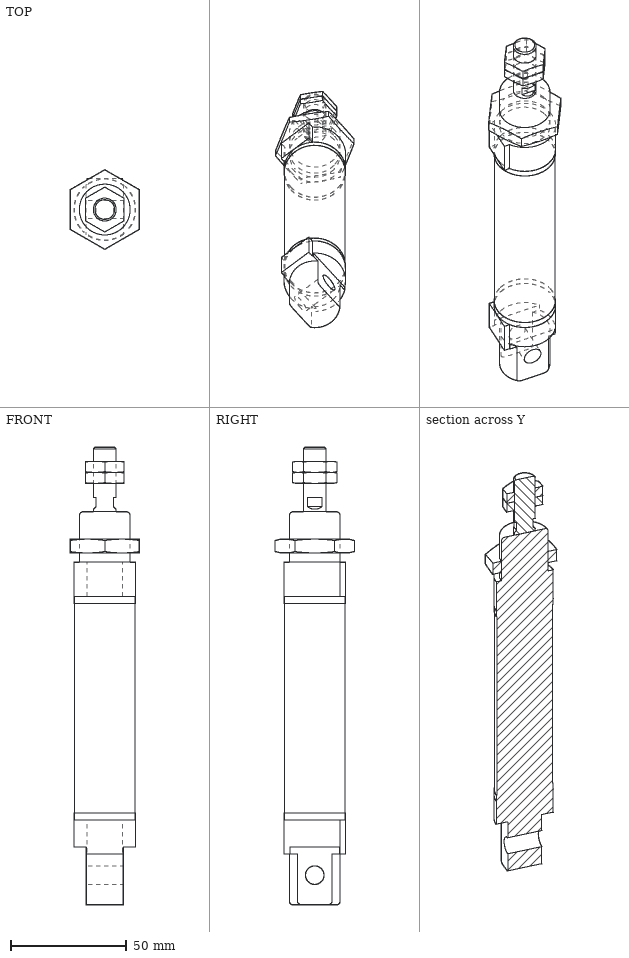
import cadquery as cq
import math

rod_top = 199.0
rod_nut_stack_bottom = 183.3
rod_flat_top = 177.1
rod_flat_bottom = 173.1
collar_top = 171.0
mounting_nut_bottom = 153.0
upper_cap_top = 149.0
upper_cap_bottom = 134.1
lower_cap_top = 37.0
clevis_shoulder_z = 25.0
lower_cap_bottom = 22.0
pivot_z = 13.0

cap_diameter = 26.9
ring_diameter = 26.7
ring_length = 3.0
tube_diameter = 26.5
collar_diameter = 22.0
end_fillet = 1.5
pad_width = 15.5
clevis_width = 16.1
pivot_diameter = 8.0

rod_diameter = 10.0
rod_tip_chamfer = 0.7
rod_flat_width = 7.8

mounting_nut_flats = 30.0
mounting_nut_thickness = 6.0
mounting_nut_corner_drop = 0.5
rod_nut_flats = 17.0
rod_nut_thickness = 4.8
rod_nut_corner_drop = 0.3
rod_nut_count = 2

cap_radius = cap_diameter / 2
rod_radius = rod_diameter / 2


def cylinder(diameter, bottom, top):
    """Upright cylinder on the Z axis between two heights."""
    return cq.Workplane("XY").workplane(offset=bottom).circle(diameter / 2).extrude(top - bottom)


def make_nut(flats, thickness, corner_drop, bore, bottom):
    """Hexagon nut with flats facing +X and -X and corners chamfered on both ends."""
    corner_radius = flats / math.sqrt(3)
    face_radius = flats / 2
    hexagon = cq.Workplane("XY").polygon(6, 2 * corner_radius).extrude(thickness)
    hexagon = hexagon.rotate((0, 0, 0), (0, 0, 1), 30)
    double_cone = cq.Workplane("XZ").polyline([
        (0, 0),
        (face_radius, 0),
        (corner_radius, corner_drop),
        (corner_radius, thickness - corner_drop),
        (face_radius, thickness),
        (0, thickness),
    ]).close().revolve(360, (0, 0, 0), (0, 1, 0))
    nut = hexagon.intersect(double_cone).cut(cylinder(bore, 0, thickness))
    return nut.translate((0, 0, bottom))


def make_end_cap(bottom, top):
    """Round end cap with a flat-sided pad squaring off its +Y side."""
    pad = cq.Workplane("XY").workplane(offset=bottom)
    pad = pad.rect(pad_width, cap_radius, centered=(True, False)).extrude(top - bottom)
    return cylinder(cap_diameter, bottom, top).union(pad)


def make_barrel():
    """Tube with a slightly larger ring where it meets each end cap."""
    upper_ring = cylinder(ring_diameter, upper_cap_bottom - ring_length, upper_cap_bottom)
    lower_ring = cylinder(ring_diameter, lower_cap_top, lower_cap_top + ring_length)
    return cylinder(tube_diameter, lower_cap_top, upper_cap_bottom).union(upper_ring).union(lower_ring)


def cut_clevis(housing):
    """Mill flats on both X sides of the lower end and drill the pivot hole through them."""
    for side in (-1, 1):
        flat = cq.Workplane("XY").rect(cap_radius, cap_diameter).extrude(clevis_shoulder_z)
        housing = housing.cut(flat.translate((side * (clevis_width + cap_radius) / 2, 0, 0)))
    pivot = cq.Workplane("YZ").center(0, pivot_z).circle(pivot_diameter / 2).extrude(cap_radius, both=True)
    return housing.cut(pivot)


def make_housing():
    """Barrel, both end caps, mounting collar and rear clevis in one body."""
    collar = cylinder(collar_diameter, upper_cap_top, collar_top).faces(">Z").edges().fillet(end_fillet)
    shank = cylinder(collar_diameter, 0, lower_cap_bottom).faces("<Z").edges().fillet(end_fillet)
    housing = make_barrel()
    housing = housing.union(make_end_cap(upper_cap_bottom, upper_cap_top))
    housing = housing.union(make_end_cap(lower_cap_bottom, lower_cap_top))
    housing = housing.union(collar).union(shank)
    return cut_clevis(housing)


def make_rod():
    """Piston rod standing on the collar, with a chamfered tip and two wrench flats."""
    rod = cylinder(rod_diameter, collar_top, rod_top).faces(">Z").chamfer(rod_tip_chamfer)
    half_flat = rod_flat_width / 2
    flat_depth = rod_radius - half_flat
    for side in (-1, 1):
        notch = cq.Workplane("XZ").polyline([
            (side * rod_radius, rod_flat_top),
            (side * half_flat, rod_flat_top),
            (side * half_flat, rod_flat_bottom),
            (side * rod_radius, rod_flat_bottom - flat_depth),
        ]).close().extrude(rod_radius, both=True)
        rod = rod.cut(notch)
    return rod


housing = make_housing()
rod = make_rod()
mounting_nut = make_nut(
    mounting_nut_flats,
    mounting_nut_thickness,
    mounting_nut_corner_drop,
    collar_diameter,
    mounting_nut_bottom,
)
rod_nuts = []
for index in range(rod_nut_count):
    nut_bottom = rod_nut_stack_bottom + index * rod_nut_thickness
    rod_nuts.append(make_nut(rod_nut_flats, rod_nut_thickness, rod_nut_corner_drop, rod_diameter, nut_bottom))

result = cq.Compound.makeCompound([
    housing.val(),
    rod.val(),
    mounting_nut.val(),
    *[nut.val() for nut in rod_nuts],
])